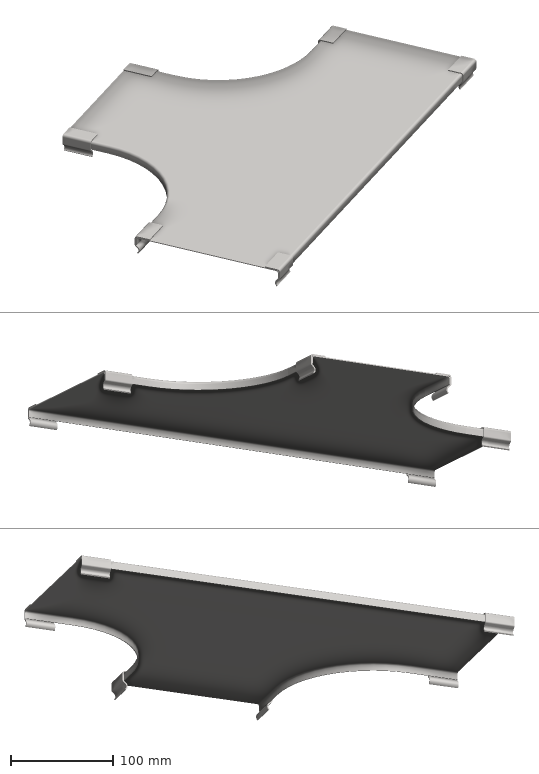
import cadquery as cq
import math


OVERALL_X = 303.5
RUN_LENGTH = 452.5
CLIP_SPAN = 156.5
CLIP_DEPTH = 19.5

COVER_SHEET = 1.0
FLANGE_HEIGHT = 8.5
COVER_BEND = 2.5
CORNER_RADIUS = 99.5

CLIP_SHEET = 1.25
CLIP_LENGTH = 30.5
CLIP_LIP = 16.5
CLIP_BEND = 2.5
SNAP_STEP = 2.5
SNAP_BEND = 2.0
SNAP_ANGLE = 50.0

COVER_WIDTH = CLIP_SPAN - 2 * CLIP_SHEET
RUN_AXIS_X = OVERALL_X - CLIP_SPAN / 2

CAVITY_OVERRUN = 4.5
COS_45 = math.sqrt(0.5)


def tee_block(inset, overrun, bend):
    """Solid tee with rounded top edges, inset from the flange faces and overrunning the openings."""
    half_width = COVER_WIDTH / 2 - inset
    radius = CORNER_RADIUS + inset
    open_x = -overrun
    open_y = RUN_LENGTH / 2 + overrun
    run_left = RUN_AXIS_X - half_width
    run_right = RUN_AXIS_X + half_width
    arc_x = run_left - radius
    arc_y = half_width + radius
    arc_mid_x = arc_x + radius * COS_45
    arc_mid_y = arc_y - radius * COS_45
    outline = (
        cq.Workplane("XY")
        .moveTo(open_x, -half_width)
        .lineTo(arc_x, -half_width)
        .threePointArc((arc_mid_x, -arc_mid_y), (run_left, -arc_y))
        .lineTo(run_left, -open_y)
        .lineTo(run_right, -open_y)
        .lineTo(run_right, open_y)
        .lineTo(run_left, open_y)
        .lineTo(run_left, arc_y)
        .threePointArc((arc_mid_x, arc_mid_y), (arc_x, half_width))
        .lineTo(open_x, half_width)
        .close()
    )
    block = outline.extrude(-FLANGE_HEIGHT)
    return block.faces(">Z").edges("not(>Y or <Y or <X)").fillet(bend)


def make_cover():
    """Tee-shaped sheet with a flange folded down along every side that is not an opening."""
    cavity = tee_block(COVER_SHEET, CAVITY_OVERRUN, COVER_BEND - COVER_SHEET)
    return tee_block(0, 0, COVER_BEND).cut(cavity.translate((0, 0, -COVER_SHEET)))


def make_clip():
    """Clip on the +X side of a channel that runs along Y, centred on the origin."""
    sin_a = math.sin(math.radians(SNAP_ANGLE))
    cos_a = math.cos(math.radians(SNAP_ANGLE))
    sin_half = math.sin(math.radians(SNAP_ANGLE / 2))
    cos_half = math.cos(math.radians(SNAP_ANGLE / 2))

    outer_x = CLIP_SPAN / 2
    inner_x = outer_x - CLIP_SHEET
    top_z = CLIP_SHEET
    lip_x = outer_x - CLIP_LIP
    bend_x = outer_x - CLIP_BEND
    bend_z = top_z - CLIP_BEND
    bend_inner = CLIP_BEND - CLIP_SHEET

    turn_x = outer_x - SNAP_BEND
    turn_z = -FLANGE_HEIGHT
    turn_inner = SNAP_BEND - CLIP_SHEET

    groove_x = outer_x - SNAP_STEP
    ramp_drop = (SNAP_STEP - SNAP_BEND * (1 - cos_a)) * cos_a / sin_a
    groove_top = turn_z - SNAP_BEND * sin_a - ramp_drop
    groove_bottom = top_z - CLIP_DEPTH + CLIP_SHEET * sin_a
    groove_z = (groove_top + groove_bottom) / 2
    groove_outer = (groove_top - groove_bottom) / (2 * sin_a)
    groove_inner = groove_outer + CLIP_SHEET
    centre_x = groove_x + groove_outer * cos_a

    profile = (
        cq.Workplane("XZ")
        .moveTo(lip_x, top_z)
        .lineTo(bend_x, top_z)
        .threePointArc(
            (bend_x + CLIP_BEND * COS_45, bend_z + CLIP_BEND * COS_45),
            (outer_x, bend_z),
        )
        .lineTo(outer_x, turn_z)
        .threePointArc(
            (turn_x + SNAP_BEND * cos_half, turn_z - SNAP_BEND * sin_half),
            (turn_x + SNAP_BEND * cos_a, turn_z - SNAP_BEND * sin_a),
        )
        .lineTo(groove_x, groove_top)
        .threePointArc((centre_x - groove_outer, groove_z), (groove_x, groove_bottom))
        .lineTo(centre_x - groove_inner * cos_a, groove_z - groove_inner * sin_a)
        .threePointArc(
            (centre_x - groove_inner, groove_z),
            (centre_x - groove_inner * cos_a, groove_z + groove_inner * sin_a),
        )
        .lineTo(turn_x + turn_inner * cos_a, turn_z - turn_inner * sin_a)
        .threePointArc(
            (turn_x + turn_inner * cos_half, turn_z - turn_inner * sin_half),
            (inner_x, turn_z),
        )
        .lineTo(inner_x, bend_z)
        .threePointArc(
            (bend_x + bend_inner * COS_45, bend_z + bend_inner * COS_45),
            (bend_x, 0),
        )
        .lineTo(lip_x, 0)
        .close()
    )
    return profile.extrude(CLIP_LENGTH / 2, both=True)


def make_clips():
    """A facing pair of clips, flush with the end of the cover, at each of the three openings."""
    run_clip_y = RUN_LENGTH / 2 - CLIP_LENGTH / 2
    openings = [
        (RUN_AXIS_X, run_clip_y, 0),
        (RUN_AXIS_X, -run_clip_y, 0),
        (CLIP_LENGTH / 2, 0, 90),
    ]
    clips = cq.Workplane("XY")
    for x, y, channel_angle in openings:
        for side_angle in (0, 180):
            turned = make_clip().rotate((0, 0, 0), (0, 0, 1), channel_angle + side_angle)
            clips = clips.add(turned.translate((x, y, 0)))
    return clips


cover = make_cover()
clips = make_clips()
result = cq.Compound.makeCompound([cover.val(), *clips.vals()])